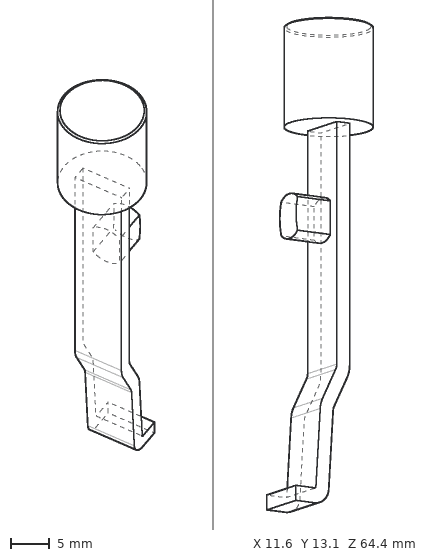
import cadquery as cq
import math

total_height = 64.4
cap_radius = 5.8
cap_height = 13.4
rim_chamfer_width = 0.3
rim_chamfer_height = 0.2
dish_depth = 0.8

strip_width = 7.1
strip_thickness = 2.0
half_thickness = strip_thickness / 2
bend_inner_radius = 1.7
foot_inner_radius = 0.2
foot_end_y = 7.3
cap_bottom_z = total_height - cap_height
upper_bend = (0.0, 18.2)
lower_bend = (2.5, 13.15)
foot_bend = (3.3, half_thickness)
centreline = [(0.0, cap_bottom_z), upper_bend, lower_bend, foot_bend, (foot_end_y, half_thickness)]

stud_z = 38.5
stud_radius = 2.995
stud_flat_width = 4.0
stud_tip_y = 6.45
stud_dome_height = 0.4


def sphere_radius(rim_radius, depth):
    """Radius of the sphere whose cap has the given rim radius and depth."""
    return (rim_radius**2 + depth**2) / (2 * depth)


def segment_angle(start, end):
    return math.atan2(end[1] - start[1], end[0] - start[0])


def mitred_side(points, distance):
    """Offset an open polyline sideways, left of its direction, with mitred corners."""
    angles = [segment_angle(a, b) for a, b in zip(points, points[1:])]
    arriving = angles[:1] + angles
    leaving = angles + angles[-1:]
    side = []
    for (y, z), angle_in, angle_out in zip(points, arriving, leaving):
        normal = (angle_in + angle_out + math.pi) / 2
        reach = distance / math.cos((angle_out - angle_in) / 2)
        side.append((y + reach * math.cos(normal), z + reach * math.sin(normal)))
    return side


def make_cap():
    rim_radius = cap_radius - rim_chamfer_width
    chamfer_bottom_z = total_height - rim_chamfer_height
    profile = (
        cq.Workplane("XZ")
        .moveTo(0, cap_bottom_z)
        .lineTo(cap_radius, cap_bottom_z)
        .lineTo(cap_radius, chamfer_bottom_z)
        .lineTo(rim_radius, total_height)
        .lineTo(0, total_height)
        .close()
    )
    cap = profile.revolve(360, (0, 0, 0), (0, 1, 0))
    dish_radius = sphere_radius(rim_radius, dish_depth)
    dish_centre_z = total_height - dish_depth + dish_radius
    return cap.cut(cq.Workplane("XY").sphere(dish_radius).translate((0, 0, dish_centre_z)))


def make_strip():
    front = mitred_side(centreline, -half_thickness)
    back = mitred_side(centreline, half_thickness)
    strip = (
        cq.Workplane("YZ")
        .polyline(front + back[::-1])
        .close()
        .extrude(strip_width / 2, both=True)
    )

    def round_corner(body, corner, radius):
        selector = cq.selectors.NearestToPointSelector((0, *corner))
        return body.edges("|X").edges(selector).fillet(radius)

    bends = [
        (back[1], front[1], bend_inner_radius),
        (front[2], back[2], bend_inner_radius),
        (back[3], front[3], foot_inner_radius),
    ]
    for inner_corner, outer_corner, inner_radius in bends:
        strip = round_corner(strip, inner_corner, inner_radius)
        strip = round_corner(strip, outer_corner, inner_radius + strip_thickness)
    return strip


def make_stud():
    stud = (
        cq.Workplane("XZ", origin=(0, 0, stud_z))
        .circle(stud_radius)
        .extrude(-stud_tip_y)
    )
    flats = cq.Workplane("XY").box(stud_flat_width, 2 * stud_tip_y, 2 * stud_radius)
    dome_radius = sphere_radius(stud_radius, stud_dome_height)
    dome = cq.Workplane("XY").sphere(dome_radius).translate((0, stud_tip_y - dome_radius, stud_z))
    return stud.intersect(flats.translate((0, 0, stud_z))).intersect(dome)


result = make_cap().union(make_strip()).union(make_stud())